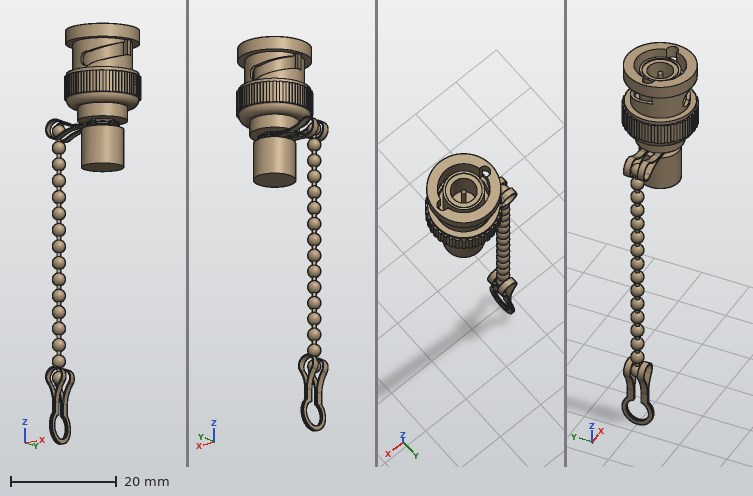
import cadquery as cq
import math


flange_radius = 7.0
flange_bottom = -2.5
sleeve_radius = 5.7
sleeve_bottom = -8.3
collar_radius = 6.85
knurl_top = -9.05
knurl_bottom = -13.1
collar_bottom = -14.8
collar_round = 1.5
neck_radius = 4.7
neck_bottom = -17.4
groove_radius = 2.35
groove_bottom = -19.0
barrel_radius = 4.0
barrel_bottom = -26.35

knurl_radius = 7.2
knurl_groove_depth = 0.15
knurl_groove_count = 36

bore_radius = 4.95
bore_floor = sleeve_bottom
tube_radius = 3.9
tube_top = -1.1
tube_step_radius = 3.5
tube_step_depth = 0.2
tube_bore_radius = 2.5
pin_radius = 0.5
pin_top = -1.65
pin_tip_round = 0.4

slot_width = 2.4
slot_end_height = -3.9
lock_hole_radius = 1.4
lock_hole_height = -6.3
entry_width = 2.2
entry_reach = 6.3

sheet = 0.25
sheet_gap = 0.15
ring_inner_radius = groove_radius
ring_outer_radius = 3.2
loop_radius = 1.9
loop_distance = 9.5
blend_end = 4.95
leg_gap = 1.6
clip_width = 4.25
clip_bottom = -78.65
upper_clip_height = (neck_bottom + groove_bottom) / 2
lower_clip_height = clip_bottom + ring_outer_radius

bead_radius = 1.25
link_radius = 0.4
bead_count = 16
chain_x = -9.75
first_bead_drop = 0.12
first_bead_height = upper_clip_height - first_bead_drop
last_bead_height = lower_clip_height + loop_distance


def disc(radius, top, bottom):
    """Cylinder on the connector axis between two heights."""
    return cq.Workplane("XY").workplane(offset=bottom).circle(radius).extrude(top - bottom)


def make_knurl():
    """Band with lengthwise grooves all round."""
    pitch_angle = 360 / knurl_groove_count
    groove_width = math.pi * knurl_radius / knurl_groove_count
    band = disc(knurl_radius, knurl_top, knurl_bottom)
    grooves = cq.Workplane("XY").workplane(offset=knurl_bottom)
    grooves = grooves.polarArray(knurl_radius, pitch_angle / 2, 360, knurl_groove_count)
    grooves = grooves.rect(2 * knurl_groove_depth, groove_width).extrude(knurl_top - knurl_bottom)
    return band.cut(grooves)


def make_bayonet_slot():
    """Slot that climbs a quarter turn from the lock hole at -Y to the entry channel at +X."""
    climb = slot_end_height - lock_hole_height
    helix_pitch = 4 * climb
    slope = math.atan2(helix_pitch, 2 * math.pi * sleeve_radius)
    vertical_width = slot_width / math.cos(slope)
    inner = (tube_radius + bore_radius) / 2
    outer = (sleeve_radius + flange_radius) / 2

    path = cq.Wire.makeHelix(helix_pitch, climb, sleeve_radius)
    section = cq.Workplane("XZ").center((inner + outer) / 2, 0).rect(outer - inner, vertical_width)
    ramp = section.sweep(cq.Workplane(path), isFrenet=True)
    ramp = ramp.rotate((0, 0, 0), (0, 0, 1), -90).translate((0, 0, lock_hole_height))

    lock_hole = cq.Workplane("XZ", origin=(0, -inner, lock_hole_height))
    lock_hole = lock_hole.circle(lock_hole_radius).extrude(outer - inner)

    entry_bottom = slot_end_height - vertical_width / 2
    entry = cq.Workplane("XY").workplane(offset=entry_bottom).center(entry_reach - entry_width / 2, 0)
    entry = entry.circle(entry_width / 2).extrude(-entry_bottom)
    return ramp.union(lock_hole).union(entry)


def make_connector():
    body = disc(collar_radius, sleeve_bottom, collar_bottom).faces("<Z").edges().fillet(collar_round)
    body = body.union(make_knurl())
    body = body.union(disc(flange_radius, 0, flange_bottom))
    body = body.union(disc(sleeve_radius, flange_bottom, sleeve_bottom))
    body = body.union(disc(neck_radius, collar_bottom, neck_bottom))
    body = body.union(disc(groove_radius, neck_bottom, groove_bottom))
    body = body.union(disc(barrel_radius, groove_bottom, barrel_bottom))

    body = body.cut(disc(bore_radius, 0, bore_floor))
    slot = make_bayonet_slot()
    for turn in (0, 180):
        body = body.cut(slot.rotate((0, 0, 0), (0, 0, 1), turn))

    tube = disc(tube_radius, tube_top, bore_floor)
    tube = tube.cut(disc(tube_step_radius, tube_top, tube_top - tube_step_depth))
    tube = tube.cut(disc(tube_bore_radius, tube_top, bore_floor))
    pin = disc(pin_radius, pin_top, bore_floor).faces(">Z").edges().fillet(pin_tip_round)
    return body.union(tube).union(pin)


def loop_outline(radius, strip_height):
    """Side outline of the loop, round about the origin and narrowing to a strip along +X."""
    blend_radius = (blend_end**2 + strip_height**2 - radius**2) / (2 * (radius - strip_height))
    tangent_angle = math.atan2(strip_height + blend_radius, blend_end)
    tangent = (radius * math.cos(tangent_angle), radius * math.sin(tangent_angle))
    middle_angle = (tangent_angle + math.pi / 2) / 2
    middle = (
        blend_end - blend_radius * math.cos(middle_angle),
        strip_height + blend_radius * (1 - math.sin(middle_angle)),
    )
    outline = cq.Workplane("XZ").moveTo(blend_end, strip_height).threePointArc(middle, tangent)
    outline = outline.threePointArc((-radius, 0), (tangent[0], -tangent[1]))
    outline = outline.threePointArc((middle[0], -middle[1]), (blend_end, -strip_height))
    return outline


def make_clip():
    """Clip lying flat, with the ring at the origin and the loop toward -X."""
    half_height = sheet + sheet_gap / 2
    strip = loop_outline(loop_radius, half_height).lineTo(loop_distance, -half_height)
    strip = strip.lineTo(loop_distance, half_height).close().extrude(clip_width / 2, both=True)
    clip = strip.translate((-loop_distance, 0, 0))
    clip = clip.union(disc(ring_outer_radius, half_height, -half_height))
    clip = clip.cut(disc(ring_inner_radius, half_height, -half_height))

    ring_end = loop_distance + ring_outer_radius
    inside = loop_outline(loop_radius - sheet, sheet_gap / 2).lineTo(ring_end, -sheet_gap / 2)
    inside = inside.lineTo(ring_end, sheet_gap / 2).close().extrude(ring_outer_radius, both=True)
    clip = clip.cut(inside.translate((-loop_distance, 0, 0)))

    gap_length = loop_distance + loop_radius
    gap = cq.Workplane("XY").center(-gap_length / 2, 0).box(gap_length, leg_gap, 2 * loop_radius)
    return clip.cut(gap)


def make_chain():
    pitch = (first_bead_height - last_bead_height) / (bead_count - 1)
    links = cq.Workplane("XY").workplane(offset=last_bead_height)
    chain = links.circle(link_radius).extrude(first_bead_height - last_bead_height)
    for i in range(bead_count):
        bead = cq.Workplane("XY").sphere(bead_radius)
        chain = chain.union(bead.translate((0, 0, last_bead_height + i * pitch)))
    return chain.translate((chain_x, 0, 0))


connector = make_connector()
chain = make_chain()
upper_clip = make_clip().translate((0, 0, upper_clip_height))
lower_clip = make_clip().rotate((0, 0, 0), (0, 1, 0), 90)
lower_clip = lower_clip.translate((-loop_distance, 0, lower_clip_height))

result = cq.Compound.makeCompound([connector.val(), chain.val(), upper_clip.val(), lower_clip.val()])